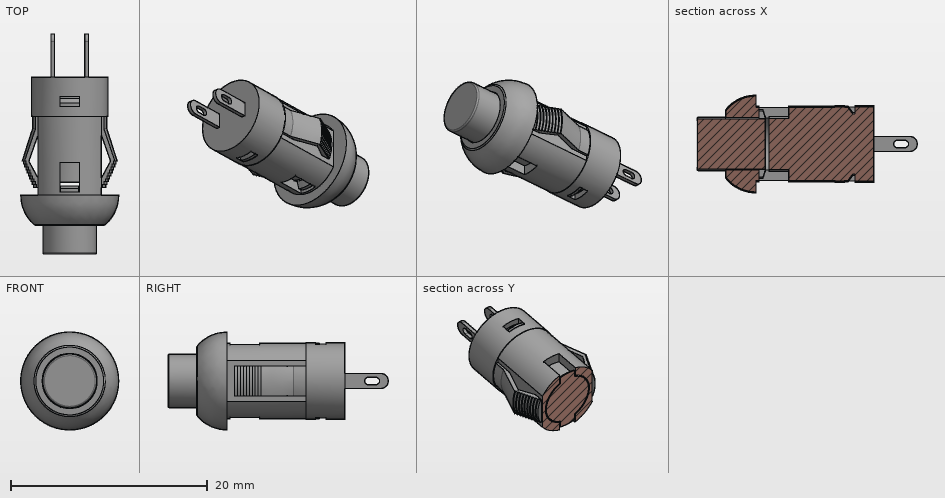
import cadquery as cq
import math


length = 22.4
rim_y = 2.91
head_back_y = 6.0
bore_end_y = 7.3
collar_front_y = 14.0
collar_back_y = 17.99

head_radius = 5.0
rim_radius = 3.63
rim_bevel_width = 0.18
rim_bevel_depth = 0.1
body_radius = 3.85
body_flat_x = 3.23
bore_radius = 2.8
button_radius = 2.73
button_edge_radius = 0.15
collar_radius = 3.9

window_width = 1.97
window_front_y = 6.3
window_back_y = 9.3
button_tooth_width = 1.84
button_tooth_radius = 3.5
button_tooth_ramp_y = 6.7
button_back_y = 6.95
slot_front_y = 15.0
slot_back_y = 16.04
slot_floor_radius = 3.23
collar_tooth_ramp_y = 15.35
collar_tooth_back_y = 15.81

clip_width = 3.05
clip_root_radius = 3.79
clip_thickness = 0.45
clip_bend_y = 12.77
clip_apex_y = 9.45
clip_apex_radius = 4.84
clip_inner_apex_radius = 4.41
clip_end_y = 6.76
clip_end_inner_radius = 3.07
tooth_count = 9
tooth_pitch = (clip_apex_y - clip_end_y) / tooth_count
tooth_step = 0.128

terminal_x = 1.72
terminal_thickness = 0.4
terminal_width = 1.55
eye_center_y = 20.75
eye_length = 1.5
eye_width = 0.75


def cylinder(radius, start_y, end_y):
    """Cylinder on the Y axis between two stations."""
    return cq.Workplane("XZ", origin=(0, start_y, 0)).circle(radius).extrude(start_y - end_y)


def box(size_x, start_y, end_y, bottom_z, top_z):
    """Box centred on X."""
    depth = end_y - start_y
    height = top_z - bottom_z
    center = (0, (start_y + end_y) / 2, (bottom_z + top_z) / 2)
    return cq.Workplane("XY").box(size_x, depth, height).translate(center)


def both_sides(solid, plane):
    """A solid together with its mirror image."""
    return solid.union(solid.mirror(plane))


def make_head():
    """Domed flange whose arc leaves the back edge parallel to the axis."""
    dome_front_y = rim_y + rim_bevel_depth
    depth = head_back_y - dome_front_y
    drop = head_radius - rim_radius
    arc_radius = (depth**2 + drop**2) / (2 * drop)
    half_angle = math.asin(depth / arc_radius) / 2
    middle = (
        head_radius - arc_radius * (1 - math.cos(half_angle)),
        head_back_y - arc_radius * math.sin(half_angle),
    )
    profile = (
        cq.Workplane("XY")
        .moveTo(0, head_back_y)
        .lineTo(head_radius, head_back_y)
        .threePointArc(middle, (rim_radius, dome_front_y))
        .lineTo(rim_radius - rim_bevel_width, rim_y)
        .lineTo(0, rim_y)
        .close()
    )
    return profile.revolve(360, (0, 0, 0), (0, 1, 0))


def make_body():
    """Flatted barrel with a window above and below, cut down to the core."""
    barrel = cylinder(body_radius, head_back_y, collar_front_y)
    barrel = barrel.intersect(
        box(2 * body_flat_x, head_back_y, collar_front_y, -body_radius, body_radius)
    )
    window = box(window_width, window_front_y, window_back_y, -body_radius, body_radius)
    core = cylinder(bore_radius, window_front_y, window_back_y)
    bore = cylinder(bore_radius, rim_y, bore_end_y)
    return barrel.union(make_head()).cut(window.cut(core)).cut(bore)


def snap_teeth(width, front_y, ramp_y, back_y, base_radius, top_radius):
    """Round catches above and below, each with a ramp falling towards +Y."""
    outline = [
        (0, front_y),
        (top_radius, front_y),
        (top_radius, ramp_y),
        (base_radius, back_y),
        (0, back_y),
    ]
    ring = cq.Workplane("XY").polyline(outline).close().revolve(360, (0, 0, 0), (0, 1, 0))
    return ring.intersect(box(width, front_y, back_y, -top_radius, top_radius))


def make_button():
    """Push button held by two teeth against the front edges of the windows."""
    plunger = cylinder(button_radius, 0, button_back_y)
    plunger = plunger.faces("<Y").edges().fillet(button_edge_radius)
    teeth = snap_teeth(
        button_tooth_width, window_front_y, button_tooth_ramp_y, button_back_y,
        button_radius, button_tooth_radius,
    )
    return plunger.union(teeth)


def make_collar():
    """Rear collar with a slot above and below, each showing a body tooth."""
    collar = cylinder(collar_radius, collar_front_y, collar_back_y)
    slots = box(window_width, slot_front_y, slot_back_y, -collar_radius, collar_radius)
    slots = slots.cut(cylinder(slot_floor_radius, slot_front_y, slot_back_y))
    teeth = snap_teeth(
        window_width, slot_front_y, collar_tooth_ramp_y, collar_tooth_back_y,
        slot_floor_radius, body_radius,
    )
    return collar.cut(slots.cut(teeth))


def make_clips():
    """Bent spring clips on both X sides, stepped between apex and tip."""
    root_inner_radius = clip_root_radius - clip_thickness
    outline = [
        (root_inner_radius, collar_front_y),
        (clip_root_radius, collar_front_y),
        (clip_root_radius, clip_bend_y),
        (clip_apex_radius, clip_apex_y),
    ]
    for index in range(tooth_count):
        step_y = clip_apex_y - index * tooth_pitch
        step_radius = clip_apex_radius - (index + 1) * tooth_step
        outline += [(step_radius, step_y), (step_radius, step_y - tooth_pitch)]
    outline += [
        (clip_end_inner_radius, clip_end_y),
        (clip_inner_apex_radius, clip_apex_y),
        (root_inner_radius, clip_bend_y),
    ]
    ring = cq.Workplane("XY").polyline(outline).close().revolve(360, (0, 0, 0), (0, 1, 0))
    side = box(clip_apex_radius, clip_end_y, collar_front_y, -clip_width / 2, clip_width / 2)
    side = side.translate((clip_apex_radius, 0, 0))
    return both_sides(ring.intersect(side), "YZ")


def make_terminals():
    """Two flat solder tags with rounded ends and an elongated eye."""
    end_radius = terminal_width / 2
    end_center_y = length - end_radius
    tag = (
        cq.Workplane("YZ")
        .moveTo(collar_back_y, -end_radius)
        .lineTo(end_center_y, -end_radius)
        .threePointArc((length, 0), (end_center_y, end_radius))
        .lineTo(collar_back_y, end_radius)
        .close()
        .extrude(terminal_thickness / 2, both=True)
    )
    eye = (
        cq.Workplane("YZ", origin=(0, eye_center_y, 0))
        .slot2D(eye_length, eye_width)
        .extrude(terminal_thickness, both=True)
    )
    return both_sides(tag.cut(eye).translate((terminal_x, 0, 0)), "YZ")


result = (
    make_body()
    .union(make_button())
    .union(make_collar())
    .union(make_clips())
    .union(make_terminals())
)